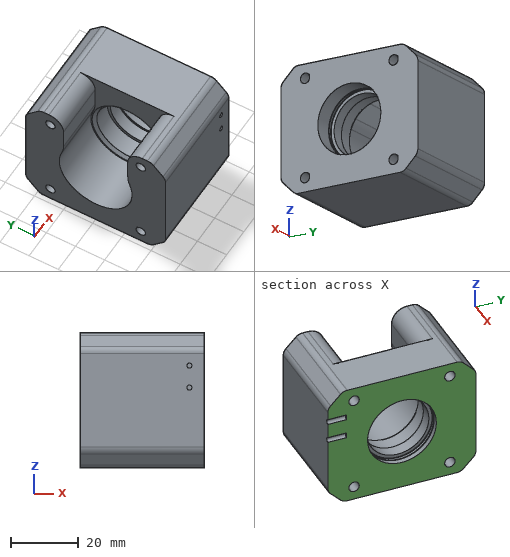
import cadquery as cq
import math

length_x = 36.65
width_y = 48.0
height_z = 40.0
corner_chamfer = 5.0
blend_diameter = 6.0

channel_depth = length_x / 2
channel_radius = 12.5
channel_neck_width = 22.05
channel_lip_radius = 5.0
channel_blend_radius = 10.0

bore_diameter = 22.1
bore_chamfer = 1.0

ring_setback = 7.0
ring_inner_diameter = 20.0
ring_length = 4.0
groove_diameter = 22.5
groove_width = 1.1

mount_hole_diameter = 3.2
mount_hole_spacing = 31.0
side_hole_diameter = 1.5
side_hole_from_end = 4.4
side_hole_depth = 6.0
side_hole_heights = (3.75, 10.2)

left_face = -length_x / 2
channel_floor = left_face + channel_depth
ring_start = channel_floor + ring_setback
ring_end = ring_start + ring_length


def make_block():
    """Block along X with four chamfered corners, every chamfer blended into its neighbours."""
    block = cq.Workplane("XY").box(length_x, width_y, height_z)
    return block.edges("|X").chamfer(corner_chamfer).edges("|X").fillet(blend_diameter / 2)


def make_channel():
    """Keyhole channel: a round bed, convex blends into a straight neck and rounded lips at the top."""
    top = height_z / 2
    neck = channel_neck_width / 2
    blend_y = neck + channel_blend_radius
    blend_z = math.sqrt((channel_radius + channel_blend_radius) ** 2 - blend_y ** 2)
    tangent_scale = channel_radius / (channel_radius + channel_blend_radius)
    bed_y = blend_y * tangent_scale
    bed_z = blend_z * tangent_scale
    half_angle = math.atan2(blend_z, blend_y) / 2
    mid_y = blend_y - channel_blend_radius * math.cos(half_angle)
    mid_z = blend_z - channel_blend_radius * math.sin(half_angle)
    lip_y = neck + channel_lip_radius
    lip_z = top - channel_lip_radius
    lip_mid_y = lip_y - channel_lip_radius * math.sqrt(0.5)
    lip_mid_z = lip_z + channel_lip_radius * math.sqrt(0.5)
    return (
        cq.Workplane("YZ", origin=(left_face, 0, 0))
        .moveTo(-lip_y, top)
        .threePointArc((-lip_mid_y, lip_mid_z), (-neck, lip_z))
        .lineTo(-neck, blend_z)
        .threePointArc((-mid_y, mid_z), (-bed_y, bed_z))
        .threePointArc((0, -channel_radius), (bed_y, bed_z))
        .threePointArc((mid_y, mid_z), (neck, blend_z))
        .lineTo(neck, lip_z)
        .threePointArc((lip_mid_y, lip_mid_z), (lip_y, top))
        .close()
        .extrude(channel_depth)
    )


def make_bore():
    """Bore with a chamfered mouth at the channel floor and a shallow groove behind the ring."""
    bore_radius = bore_diameter / 2
    return (
        cq.Workplane("XY")
        .moveTo(channel_floor, 0)
        .lineTo(channel_floor, bore_radius + bore_chamfer)
        .lineTo(channel_floor + bore_chamfer, bore_radius)
        .lineTo(ring_end, bore_radius)
        .lineTo(ring_end, groove_diameter / 2)
        .lineTo(ring_end + groove_width, groove_diameter / 2)
        .lineTo(ring_end + groove_width, bore_radius)
        .lineTo(length_x / 2, bore_radius)
        .lineTo(length_x / 2, 0)
        .close()
        .revolve(360, (0, 0, 0), (1, 0, 0))
    )


def make_mount_holes():
    """Four holes through the whole length."""
    return (
        cq.Workplane("YZ", origin=(left_face, 0, 0))
        .rect(mount_hole_spacing, mount_hole_spacing, forConstruction=True)
        .vertices()
        .circle(mount_hole_diameter / 2)
        .extrude(length_x)
    )


def make_side_holes():
    """Two small blind holes in the -Y face."""
    hole_x = length_x / 2 - side_hole_from_end
    return (
        cq.Workplane("XZ", origin=(0, -width_y / 2, 0))
        .pushPoints([(hole_x, z) for z in side_hole_heights])
        .circle(side_hole_diameter / 2)
        .extrude(-side_hole_depth)
    )


def make_housing():
    """Block with the channel, the bore and all the holes cut out."""
    return (
        make_block()
        .cut(make_channel())
        .cut(make_bore())
        .cut(make_mount_holes())
        .cut(make_side_holes())
    )


def make_ring():
    """Plain ring that fills the bore between its mouth and the groove."""
    return (
        cq.Workplane("YZ", origin=(ring_start, 0, 0))
        .circle(bore_diameter / 2)
        .circle(ring_inner_diameter / 2)
        .extrude(ring_length)
    )


housing = make_housing()
ring = make_ring()
result = cq.Compound.makeCompound([housing.val(), ring.val()])